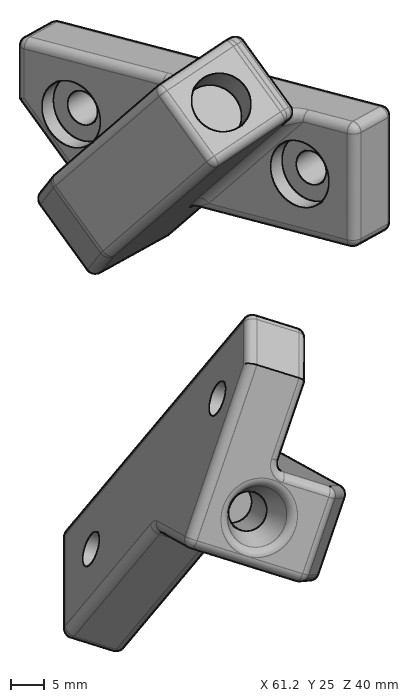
import cadquery as cq
import math

length = 61.2
plate_depth = 10.0

bar_angle = 45.0
bar_width = 15.0
bar_depth = 15.0
bar_half_length = length / 2 * math.cos(math.radians(bar_angle))

plate_height = 2 * (bar_half_length - bar_width / 2) * math.sin(math.radians(bar_angle))

slope_start = 3.0
slope_angle = 30.0

bevel_depth = 5.0
bevel_angle = 60.0

edge_radius = 1.45

screw_inset = 10.0
screw_diameter = 5.4
head_diameter = 10.5
head_depth = 3.0

pocket_diameter = 9.05
pocket_depth = 6.35
pocket_offset = 9.2

socket_diameter = 10.0
socket_throat_diameter = 6.0
socket_taper_depth = 5.25
socket_depth = 12.25
socket_offset = -0.3
mouth_rounding = 1.45

pick_reach = 0.3

along = cq.Vector(math.cos(math.radians(bar_angle)), 0, math.sin(math.radians(bar_angle)))
across = cq.Vector(-along.z, 0, along.x)
outward = cq.Vector(0, -1, 0)
bar_section = cq.Plane(origin=(0, 0, 0), xDir=along, normal=along.cross(outward))


def point_on_bar(distance, side):
    """X and Z of a point at a distance up the bar and to its upper-left side."""
    point = along * distance + across * side
    return (point.x, point.z)


def make_plate():
    """Rectangle whose lower left follows the end of the bar."""
    half_length = length / 2
    half_height = plate_height / 2
    tip = point_on_bar(-bar_half_length, -bar_width / 2)
    notch_x = -half_height + bar_width / 2 / math.sin(math.radians(bar_angle))
    outline = [
        (-half_length, half_height),
        (half_length, half_height),
        (half_length, -half_height),
        (notch_x, -half_height),
        tip,
        (-half_length, 0),
    ]
    return cq.Workplane("XZ").polyline(outline).close().extrude(-plate_depth)


def make_bar():
    """Side profile of the bar, extruded to both sides of its centre line."""
    slope_run = (bar_depth - slope_start) * math.tan(math.radians(slope_angle))
    bevel_run = bevel_depth * math.tan(math.radians(bevel_angle))
    profile = [
        (-bar_half_length, 0),
        (bar_half_length, 0),
        (bar_half_length, slope_start),
        (bar_half_length - slope_run, bar_depth),
        (-bar_half_length + bevel_run, bar_depth),
        (-bar_half_length, bar_depth - bevel_depth),
    ]
    return cq.Workplane(bar_section).polyline(profile).close().extrude(bar_width / 2, both=True)


def small_box(centre):
    """Selector for whatever is centred close to a point."""
    reach = cq.Vector(pick_reach, pick_reach, pick_reach)
    return cq.selectors.BoxSelector(centre - reach, centre + reach)


def round_edges(body):
    """Round every edge but the one along Y where the bar's end plane meets the plate's left side."""
    sharp_corner = small_box(cq.Vector(-length / 2, plate_depth / 2, 0))
    return body.edges(cq.selectors.InverseSelector(sharp_corner)).fillet(edge_radius)


def join_rounded(plate, bar):
    """Blend the bar into the plate, but leave its overhang above the plate as the plain rounded bar."""
    above_plate = (
        cq.Workplane("XY")
        .workplane(offset=plate_height / 2)
        .rect(2 * length, 2 * length)
        .extrude(length)
    )
    blended = round_edges(plate.union(bar.cut(above_plate)).clean())
    return blended.union(bar.edges().fillet(edge_radius))


def drill_screw_holes(body):
    """Two counterbored holes through the plate at mid height."""
    centres = [(-length / 2 + screw_inset, 0), (length / 2 - screw_inset, 0)]
    bores = cq.Workplane("XZ").pushPoints(centres).circle(screw_diameter / 2).extrude(-plate_depth)
    heads = cq.Workplane("XZ").pushPoints(centres).circle(head_diameter / 2).extrude(-head_depth)
    return body.cut(bores).cut(heads)


def cut_pocket(body):
    """Pocket centred on the slope and drilled square to it."""
    drop = (pocket_offset - slope_start) * math.tan(math.radians(slope_angle))
    centre = along * (bar_half_length - drop) + outward * pocket_offset
    tilt = math.radians(slope_angle)
    slope_normal = along * math.cos(tilt) + outward * math.sin(tilt)
    mouth = cq.Plane(origin=centre, xDir=across, normal=slope_normal)
    return body.cut(cq.Workplane(mouth).circle(pocket_diameter / 2).extrude(-pocket_depth))


def cut_socket(body):
    """Taper from the end face to a straight throat, with a rounded mouth."""
    mouth_radius = socket_diameter / 2
    throat_radius = socket_throat_diameter / 2
    centre = along * -bar_half_length + outward * socket_offset
    axis_plane = cq.Plane(origin=centre, xDir=across, normal=across.cross(along))
    profile = [
        (0, 0),
        (mouth_radius, 0),
        (throat_radius, socket_taper_depth),
        (throat_radius, socket_depth),
        (0, socket_depth),
    ]
    socket = cq.Workplane(axis_plane).polyline(profile).close().revolve(360, (0, 0, 0), (0, 1, 0))
    return body.cut(socket).edges("%CIRCLE").edges(small_box(centre)).fillet(mouth_rounding)


body = join_rounded(make_plate(), make_bar())
body = drill_screw_holes(body)
body = cut_pocket(body)
result = cut_socket(body)